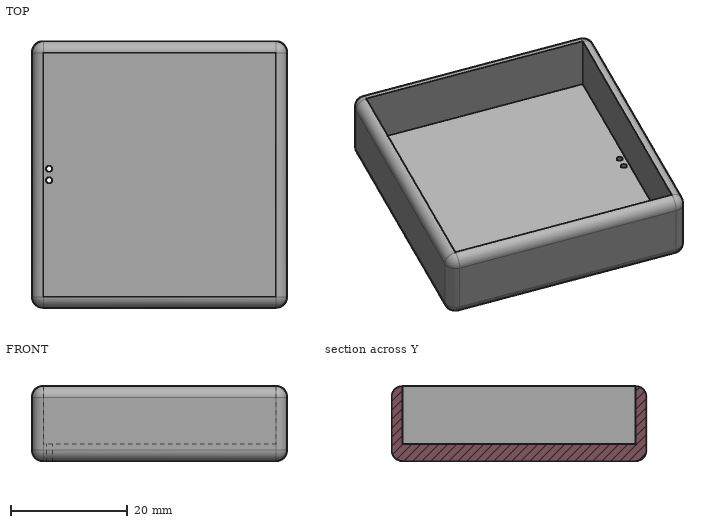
import cadquery as cq

length_x = 44.0
length_y = 46.0
height = 13.0

edge_radius = 2.0
wall = edge_radius
floor_thickness = 3.0

hole_diameter = 1.0
hole_edge_distance = 3.0
hole_spacing = 2.0

body = cq.Workplane("XY").box(length_x, length_y, height, centered=(True, True, False))
body = body.edges().fillet(edge_radius)

cavity = (
    cq.Workplane("XY")
    .workplane(offset=floor_thickness)
    .rect(length_x - 2 * wall, length_y - 2 * wall)
    .extrude(height - floor_thickness)
)

hole_x = -length_x / 2 + hole_edge_distance
floor_holes = (
    cq.Workplane("XY")
    .pushPoints([(hole_x, side * hole_spacing / 2) for side in (-1, 1)])
    .circle(hole_diameter / 2)
    .extrude(floor_thickness)
)

result = body.cut(cavity).cut(floor_holes)